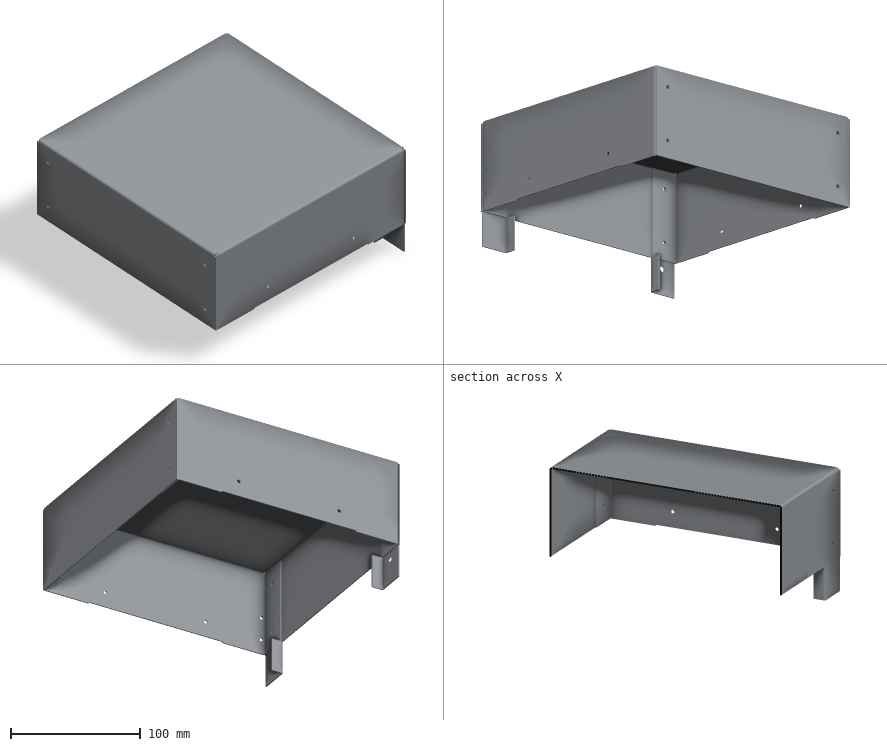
import cadquery as cq

LENGTH_X = 202.02
DEPTH_Y = 200.0
TOTAL_HEIGHT = 101.0
WALL_HEIGHT = 73.0
SHEET = 1.0
BEND_RADIUS = 2.0
INNER_RADIUS = BEND_RADIUS - SHEET

HALF_X = LENGTH_X / 2
HALF_Y = DEPTH_Y / 2

RETURN_WIDTH = 25.0
SIDE_HALF_Y = HALF_Y - SHEET

LEG_OUTER_X = 100.0
LEG_WIDTH = 25.0
LEG_LIP_DEPTH = 10.0

SIDE_PATTERN_Y = 0.5

RELIEF_LENGTH = 120.0
RELIEF_DEPTH = 1.0

END_HOLE_DIAMETER = 3.26
RETURN_HOLE_DIAMETER = 3.0
END_HOLE_X = 88.65
END_HOLE_DEPTHS = (15.8, 58.9)
SIDE_HOLE_DIAMETER = 3.0
SIDE_HOLE_SPACING = 90.0
SIDE_HOLE_DEPTH = 59.2
REAR_SIDE_HOLE_Y = 95.3
REAR_SIDE_HOLE_DEPTHS = (41.0, 60.2)
LEG_HOLE_DIAMETER = 4.5
LEG_HOLE_X = 87.2
LEG_HOLE_DEPTH = 80.0


def box(x_range, y_range, z_range):
    """Box between the given lower and upper limits."""
    (x0, x1), (y0, y1), (z0, z1) = x_range, y_range, z_range
    return cq.Workplane("XY").box(x1 - x0, y1 - y0, z1 - z0, centered=False).translate((x0, y0, z0))


def folded_channel(plane, half_width, half_length, height):
    """Inverted U of bent sheet: a top panel with a wall folded down on either side.

    Made from two bars with rounded top edges, one inside the other, cut off at the given height.
    """
    bend_axis = "|Y" if plane == "XZ" else "|X"
    bar_height = 2 * height

    def bar(half, top, radius):
        solid = cq.Workplane(plane).rect(2 * half, bar_height).extrude(half_length, both=True)
        return solid.edges(bend_axis).edges(">Z").fillet(radius).translate((0, 0, top - bar_height / 2))

    outside = bar(half_width, 0, BEND_RADIUS)
    inside = bar(half_width - SHEET, -SHEET, INNER_RADIUS)
    below_walls = box((-LENGTH_X, LENGTH_X), (-DEPTH_Y, DEPTH_Y), (-bar_height - SHEET, -height))
    return outside.cut(inside).cut(below_walls)


def make_end_walls():
    """Front and rear walls bent down from the top, running the full width below the bends."""
    bent = folded_channel("YZ", HALF_Y, HALF_X - BEND_RADIUS, WALL_HEIGHT)
    for y_range in ((-HALF_Y, -HALF_Y + SHEET), (HALF_Y - SHEET, HALF_Y)):
        bent = bent.union(box((-HALF_X, HALF_X), y_range, (-WALL_HEIGHT, -BEND_RADIUS)))
    return bent


def make_side_walls():
    """Side walls bent down from the top, with the relief along their bottom edges."""
    walls = folded_channel("XZ", HALF_X, SIDE_HALF_Y - BEND_RADIUS, WALL_HEIGHT)
    relief_y = (SIDE_PATTERN_Y - RELIEF_LENGTH / 2, SIDE_PATTERN_Y + RELIEF_LENGTH / 2)
    relief = box((-HALF_X, HALF_X), relief_y, (-WALL_HEIGHT, -WALL_HEIGHT + RELIEF_DEPTH))
    return walls.cut(relief)


def make_corner_return(side, end):
    """Vertical fold at one corner, from the side wall to the flange behind an end wall."""
    height = WALL_HEIGHT - SHEET

    def block(inset, radius):
        solid = cq.Workplane("XY").box(RETURN_WIDTH, RETURN_WIDTH, height, centered=False)
        solid = solid.edges("|Z and <X and <Y").fillet(radius)
        return solid.translate((inset, inset, 0))

    angle = block(0, BEND_RADIUS).cut(block(SHEET, INNER_RADIUS))
    angle = angle.intersect(box((0, RETURN_WIDTH), (0, BEND_RADIUS), (0, height)))
    angle = angle.translate((-HALF_X, -SIDE_HALF_Y, -WALL_HEIGHT))
    if side > 0:
        angle = angle.mirror("YZ")
    if end > 0:
        angle = angle.mirror("XZ")
    return angle


def make_leg(side):
    """Leg below the rear wall: a plate with a forward lip bent from its inner edge."""
    inner_x = LEG_OUTER_X - LEG_WIDTH
    front_y = HALF_Y - LEG_LIP_DEPTH
    z_range = (-TOTAL_HEIGHT, -WALL_HEIGHT)
    outside = box((inner_x, LEG_OUTER_X), (front_y, HALF_Y), z_range)
    outside = outside.edges("|Z and <X and >Y").fillet(BEND_RADIUS)
    inside = box((inner_x + SHEET, LEG_OUTER_X), (front_y, HALF_Y - SHEET), z_range)
    inside = inside.edges("|Z and <X and >Y").fillet(INNER_RADIUS)
    leg = outside.cut(inside)
    return leg if side > 0 else leg.mirror("YZ")


def hole_along_y(diameter, x, depth):
    """Drill running the full depth of the cover, parallel to Y."""
    return cq.Workplane("XZ").center(x, -depth).circle(diameter / 2).extrude(DEPTH_Y, both=True)


def hole_along_x(diameter, y, depth):
    """Drill running the full width of the cover, parallel to X."""
    return cq.Workplane("YZ").center(y, -depth).circle(diameter / 2).extrude(LENGTH_X, both=True)


end_walls = make_end_walls()
side_walls = make_side_walls()
for side in (-1, 1):
    for end in (-1, 1):
        side_walls = side_walls.union(make_corner_return(side, end))
    for depth in END_HOLE_DEPTHS:
        end_walls = end_walls.cut(hole_along_y(END_HOLE_DIAMETER, side * END_HOLE_X, depth))
        side_walls = side_walls.cut(hole_along_y(RETURN_HOLE_DIAMETER, side * END_HOLE_X, depth))
    side_hole_y = SIDE_PATTERN_Y + side * SIDE_HOLE_SPACING / 2
    side_walls = side_walls.cut(hole_along_x(SIDE_HOLE_DIAMETER, side_hole_y, SIDE_HOLE_DEPTH))

result = end_walls.union(side_walls)
for side in (-1, 1):
    result = result.union(make_leg(side))

left_half = box((-LENGTH_X, 0), (-DEPTH_Y, DEPTH_Y), (-TOTAL_HEIGHT, 0))
for depth in REAR_SIDE_HOLE_DEPTHS:
    drill = hole_along_x(SIDE_HOLE_DIAMETER, REAR_SIDE_HOLE_Y, depth)
    result = result.cut(drill.intersect(left_half))

result = result.cut(hole_along_y(LEG_HOLE_DIAMETER, LEG_HOLE_X, LEG_HOLE_DEPTH))